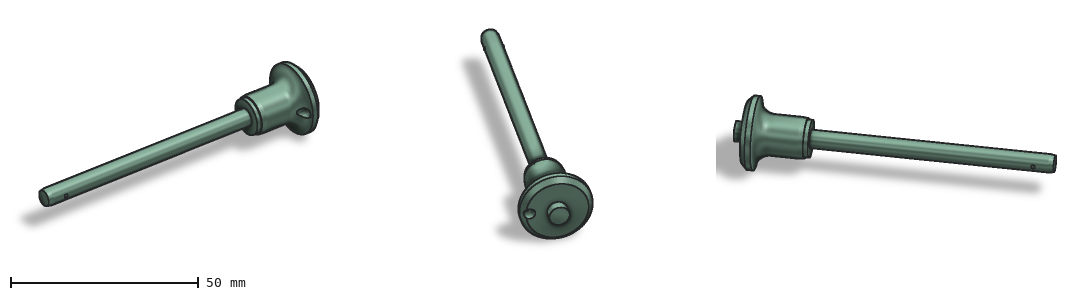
import cadquery as cq
import math

total_length = 86.7
back_y = total_length / 2
tip_y = -total_length / 2

button_radius = 2.8
button_length = 3.0
button_dome_height = 0.35

flange_diameter = 20.0
flange_radius = flange_diameter / 2
flange_bevel_length = 1.5
flange_bevel_depth = 1.5
flange_rim_length = 1.6
barrel_radius = 5.6
barrel_length = 7.5
barrel_end_radius = 5.5
collar_radius = 5.1
barrel_taper_length = 1.5
collar_length = 1.3

lanyard_hole_diameter = 3.0
lanyard_hole_x = 7.5

shank_radius = 2.5
tip_radius = 2.25
tip_taper_length = 1.4
ball_radius = 0.6
ball_protrusion = 0.3
ball_from_tip = 5.5

dome_base_y = back_y - button_dome_height
flange_back_y = back_y - button_length
rim_back_y = flange_back_y - flange_bevel_length
rim_front_y = rim_back_y - flange_rim_length
flare_radius = flange_radius - barrel_radius
barrel_back_y = rim_front_y - flare_radius
barrel_front_y = barrel_back_y - barrel_length
collar_back_y = barrel_front_y - barrel_taper_length
collar_front_y = collar_back_y - collar_length


def make_body():
    """Revolve the half outline of button, handle and shank about the Y axis."""
    dome_radius = (button_radius ** 2 + button_dome_height ** 2) / (2 * button_dome_height)
    dome_half_angle = math.asin(button_radius / dome_radius) / 2
    dome_middle = (
        dome_radius * math.sin(dome_half_angle),
        back_y - dome_radius * (1 - math.cos(dome_half_angle)),
    )
    diagonal = flare_radius * math.sqrt(0.5)
    flare_middle = (flange_radius - diagonal, barrel_back_y + diagonal)
    return (
        cq.Workplane("XY")
        .moveTo(0, back_y)
        .threePointArc(dome_middle, (button_radius, dome_base_y))
        .lineTo(button_radius, flange_back_y)
        .lineTo(flange_radius - flange_bevel_depth, flange_back_y)
        .lineTo(flange_radius, rim_back_y)
        .lineTo(flange_radius, rim_front_y)
        .threePointArc(flare_middle, (barrel_radius, barrel_back_y))
        .lineTo(barrel_radius, barrel_front_y)
        .lineTo(barrel_end_radius, collar_back_y)
        .lineTo(collar_radius, collar_back_y)
        .lineTo(collar_radius, collar_front_y)
        .lineTo(shank_radius, collar_front_y)
        .lineTo(shank_radius, tip_y + tip_taper_length)
        .lineTo(tip_radius, tip_y)
        .lineTo(0, tip_y)
        .close()
        .revolve(360, (0, 0, 0), (0, 1, 0))
    )


def make_lanyard_hole():
    """Cylinder parallel to the pin that pierces the flange and flare."""
    return (
        cq.Workplane("XZ", origin=(lanyard_hole_x, flange_back_y, 0))
        .circle(lanyard_hole_diameter / 2)
        .extrude(flange_back_y - barrel_back_y)
    )


def make_ball(side):
    """Locking ball standing slightly proud of the shank on the given X side."""
    ball_x = side * (shank_radius + ball_protrusion - ball_radius)
    return cq.Workplane("XY", origin=(ball_x, tip_y + ball_from_tip, 0)).sphere(ball_radius)


result = make_body().cut(make_lanyard_hole())
for side in (-1, 1):
    result = result.union(make_ball(side))